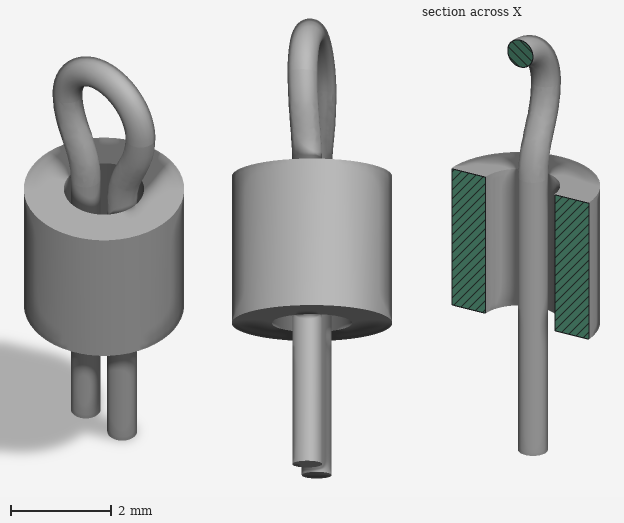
import cadquery as cq

bead_diameter = 3.2
bead_bore = 1.6
bead_height = 3.0
wire_diameter = 0.6
leg_spacing = 1.0
leg_below_bead = 3.0
loop_radius = 1.0
total_height = 9.2

leg_x = leg_spacing / 2
bead_top = leg_below_bead + bead_height
loop_center_z = total_height - wire_diameter / 2 - loop_radius


def make_bead():
    """Plain cylindrical bead with a through bore."""
    return (
        cq.Workplane("XY")
        .workplane(offset=leg_below_bead)
        .circle(bead_diameter / 2)
        .circle(bead_bore / 2)
        .extrude(bead_height)
    )


def make_wire():
    """Round wire: two straight legs, two S-bends and a half-round loop."""
    up = (0, 1)
    down = (0, -1)
    path = (
        cq.Workplane("XZ")
        .moveTo(-leg_x, 0)
        .lineTo(-leg_x, bead_top)
        .spline([(-loop_radius, loop_center_z)], tangents=[up, up], includeCurrent=True)
        .threePointArc((0, loop_center_z + loop_radius), (loop_radius, loop_center_z))
        .spline([(leg_x, bead_top)], tangents=[down, down], includeCurrent=True)
        .lineTo(leg_x, 0)
    )
    return cq.Workplane("XY").center(-leg_x, 0).circle(wire_diameter / 2).sweep(path)


bead = make_bead()
wire = make_wire()
result = cq.Compound.makeCompound([bead.val(), wire.val()])